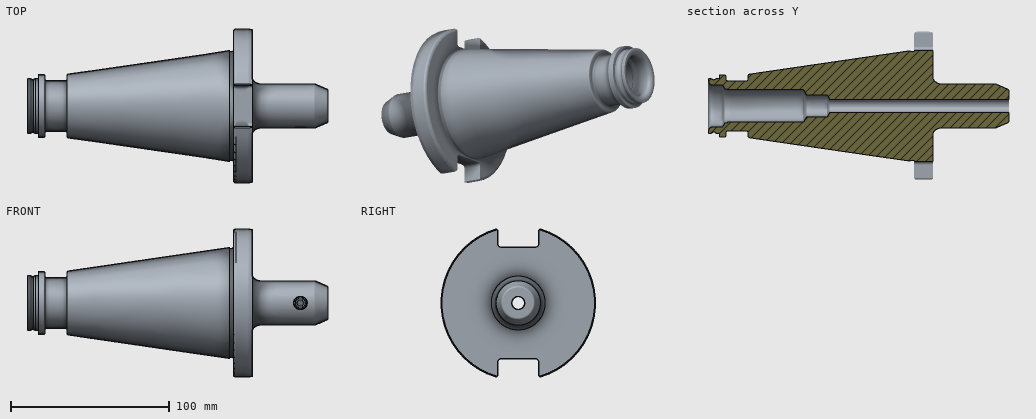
import cadquery as cq
import math


total_length = 189.8
gauge_x = 126.8
flange_front_x = gauge_x + 3.2
flange_thickness = 12.0
flange_back_x = flange_front_x + flange_thickness

gauge_radius = 69.85 / 2
taper_slope = 7 / 48
taper_start_x = 25.0
taper_edge_fillet = 1.0
taper_end_x = flange_front_x - 2.5

relief_radius = 34.5
relief_step_fillet = 0.4
relief_flange_fillet = 0.7

flange_radius = 97.5 / 2
flange_front_fillet = 1.8
flange_back_chamfer_length = 2.4
flange_back_chamfer_depth = 0.6
slot_width = 25.7
slot_floor_height = 35.3
slot_fillet = 2.0
slot_mouth_chamfer = 1.2

end_radius = 17.5
end_chamfer = 0.5
groove_middle_x = 3.4
groove_width = 3.4
groove_floor_width = 0.8
groove_depth = 0.8
collar_front_x = 7.0
collar_back_x = 11.2
collar_radius = 39.6 / 2
collar_edge_fillet = 1.0
neck_radius = 16.0
neck_fillet = 1.0

shank_radius = 14.0
root_fillet = 6.0
root_radius = 17.0
nose_start_x = total_length - 8.4
nose_radius = 10.35
nose_start_fillet = 2.0
nose_edge_fillet = 1.3

mouth_fillet = 3.0
counterbore_radius = 13.0
counterbore_depth = 9.0
thread_entry_radius = 10.5
thread_entry_length = 1.5
thread_radius = 10.1
thread_end_x = 60.0
pilot_radius = 6.65
pilot_end_x = 75.0
drill_half_angle = 59.0
countersink_half_angle = 60.0
tool_radius = 4.0

screw_x = total_length - 17.5
screw_radius = 4.0
screw_edge_chamfer = 0.8
screw_tip_clearance = 0.5
screw_hole_chamfer_radius = 4.35
screw_hole_chamfer_depth = 1.2
socket_across_flats = 4.0
socket_depth = 4.0


def taper_radius(x):
    return gauge_radius - (gauge_x - x) * taper_slope


def cone_length(large_radius, small_radius, half_angle):
    return (large_radius - small_radius) / math.tan(math.radians(half_angle))


def add_rounded_corner(profile, before, corner, after, radius):
    """Continue the profile up to the corner and round it with a tangent arc."""
    corner = cq.Vector(*corner)
    to_before = (cq.Vector(*before) - corner).normalized()
    to_after = (cq.Vector(*after) - corner).normalized()
    half_angle = to_before.getAngle(to_after) / 2
    tangent_length = radius / math.tan(half_angle)
    arc_start = corner + to_before * tangent_length
    arc_end = corner + to_after * tangent_length
    bisector = (to_before + to_after).normalized()
    arc_middle = corner + bisector * (radius / math.sin(half_angle) - radius)
    return profile.lineTo(arc_start.x, arc_start.y).threePointArc(
        (arc_middle.x, arc_middle.y), (arc_end.x, arc_end.y)
    )


def revolve_outline(outline):
    """Revolve (x, radius, corner rounding) points, closed by the X axis."""
    first_x = outline[0][0]
    last_x = outline[-1][0]
    points = [(first_x, 0)] + [(x, r) for x, r, _ in outline] + [(last_x, 0)]
    roundings = [rounding for _, _, rounding in outline]
    profile = cq.Workplane("XZ").moveTo(first_x, 0)
    for index, rounding in enumerate(roundings, start=1):
        if rounding > 0:
            profile = add_rounded_corner(
                profile, points[index - 1], points[index], points[index + 1], rounding
            )
        else:
            profile = profile.lineTo(*points[index])
    return profile.lineTo(last_x, 0).close().revolve(360, (0, 0, 0), (1, 0, 0))


def make_pull_end_and_taper():
    return revolve_outline([
        (0, end_radius - end_chamfer, 0),
        (end_chamfer, end_radius, 0),
        (collar_front_x, end_radius, 0),
        (collar_front_x, collar_radius, 0),
        (collar_back_x, collar_radius, collar_edge_fillet),
        (collar_back_x, neck_radius, neck_fillet),
        (taper_start_x, neck_radius, neck_fillet),
        (taper_start_x, taper_radius(taper_start_x), taper_edge_fillet),
        (taper_end_x, taper_radius(taper_end_x), 0),
        (taper_end_x, relief_radius, relief_step_fillet),
        (flange_front_x, relief_radius, relief_flange_fillet),
        (flange_front_x, slot_floor_height, 0),
    ])


def make_flange():
    flange = revolve_outline([
        (flange_front_x, flange_radius, flange_front_fillet),
        (flange_back_x - flange_back_chamfer_length, flange_radius, 0),
        (flange_back_x, flange_radius - flange_back_chamfer_depth, 0),
    ])
    slot = make_drive_slot()
    return flange.cut(slot).cut(slot.rotate((0, 0, 0), (1, 0, 0), 180))


def make_drive_slot():
    """Slot across the +Z edge of the flange, flared where it opens at the rim."""
    half_width = slot_width / 2
    rim_height = math.sqrt(flange_radius ** 2 - half_width ** 2)
    flare_start = rim_height - slot_mouth_chamfer
    rim_angle = math.asin(half_width / flange_radius)
    flare_run = slot_mouth_chamfer * math.cos(rim_angle)
    flare_rise = slot_mouth_chamfer * (1 - math.sin(rim_angle))
    flare_scale = 3
    outer_half_width = half_width + flare_scale * flare_run
    outer_height = flare_start + flare_scale * flare_rise
    return (
        cq.Workplane("YZ", origin=(flange_front_x, 0, 0))
        .moveTo(-half_width, slot_floor_height)
        .lineTo(half_width, slot_floor_height)
        .lineTo(half_width, flare_start)
        .lineTo(outer_half_width, outer_height)
        .lineTo(outer_half_width, flange_radius)
        .lineTo(-outer_half_width, flange_radius)
        .lineTo(-outer_half_width, outer_height)
        .lineTo(-half_width, flare_start)
        .close()
        .extrude(flange_thickness)
        .edges("|X and <Z")
        .fillet(slot_fillet)
    )


def make_shank():
    root_angle = math.acos(1 - (root_radius - shank_radius) / root_fillet)
    root_tangent = root_fillet * math.tan(root_angle / 2)
    root_corner_x = flange_back_x + root_tangent * math.cos(root_angle)
    cone_start_x = flange_back_x - flange_thickness / 2
    cone_start_radius = root_radius + (flange_back_x - cone_start_x) * math.tan(root_angle)
    return revolve_outline([
        (cone_start_x, cone_start_radius, 0),
        (root_corner_x, shank_radius, root_fillet),
        (nose_start_x, shank_radius, nose_start_fillet),
        (total_length, nose_radius, nose_edge_fillet),
    ])


def make_end_groove():
    """Ring with a flat-bottomed V section, cut around the pull end."""
    half_width = groove_width / 2
    half_floor = groove_floor_width / 2
    floor_radius = end_radius - groove_depth
    return (
        cq.Workplane("XZ")
        .moveTo(groove_middle_x - half_width, end_radius)
        .lineTo(groove_middle_x - half_floor, floor_radius)
        .lineTo(groove_middle_x + half_floor, floor_radius)
        .lineTo(groove_middle_x + half_width, end_radius)
        .close()
        .revolve(360, (0, 0, 0), (1, 0, 0))
    )


def make_bore():
    countersink_end_x = counterbore_depth + cone_length(
        counterbore_radius, thread_entry_radius, countersink_half_angle
    )
    thread_start_x = countersink_end_x + thread_entry_length
    thread_cone_end_x = thread_end_x + cone_length(thread_radius, pilot_radius, drill_half_angle)
    pilot_cone_end_x = pilot_end_x + cone_length(pilot_radius, tool_radius, drill_half_angle)
    return revolve_outline([
        (0, counterbore_radius, 0),
        (counterbore_depth, counterbore_radius, 0),
        (countersink_end_x, thread_entry_radius, 0),
        (thread_start_x, thread_entry_radius, 0),
        (thread_start_x, thread_radius, 0),
        (thread_end_x, thread_radius, 0),
        (thread_cone_end_x, pilot_radius, 0),
        (pilot_end_x, pilot_radius, 0),
        (pilot_cone_end_x, tool_radius, 0),
        (total_length, tool_radius, 0),
    ])


def make_screw_hole():
    """Radial hole from the -Y side of the shank into the bore, chamfered outside."""
    hole = cq.Workplane("XZ", origin=(screw_x, 0, 0)).circle(screw_radius).extrude(shank_radius)
    chamfer = (
        cq.Workplane("XZ", origin=(screw_x, -shank_radius, 0))
        .circle(screw_hole_chamfer_radius)
        .workplane(offset=-screw_hole_chamfer_depth)
        .circle(screw_radius)
        .loft()
    )
    return hole.union(chamfer)


def make_holder():
    return (
        make_pull_end_and_taper()
        .union(make_flange())
        .union(make_shank())
        .cut(make_end_groove())
        .cut(make_bore())
        .faces("<X")
        .edges(cq.selectors.RadiusNthSelector(0))
        .fillet(mouth_fillet)
        .cut(make_screw_hole())
    )


def make_clamp_screw():
    """Set screw with a hexagon socket, level with the outside of the shank."""
    tip_y = -tool_radius - screw_tip_clearance
    socket_diameter = socket_across_flats / math.cos(math.pi / 6)
    return (
        cq.Workplane("XZ", origin=(screw_x, tip_y, 0))
        .circle(screw_radius)
        .extrude(shank_radius + tip_y)
        .faces("<Y or >Y")
        .chamfer(screw_edge_chamfer)
        .faces("<Y")
        .workplane()
        .polygon(6, socket_diameter)
        .cutBlind(-socket_depth)
    )


holder = make_holder()
clamp_screw = make_clamp_screw()

result = cq.Compound.makeCompound([holder.val(), clamp_screw.val()])